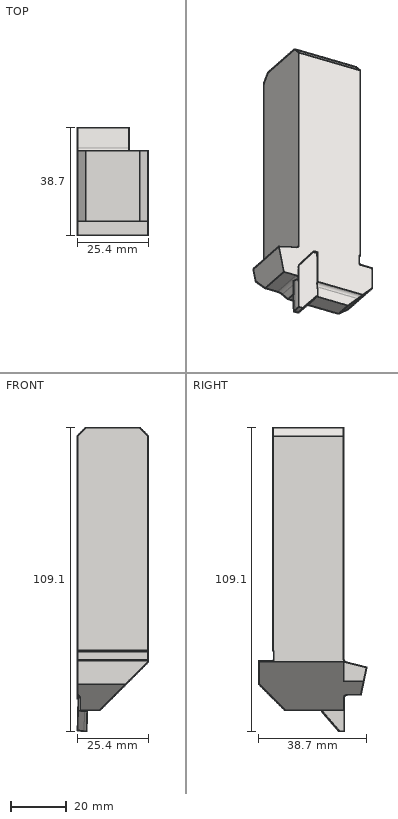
import cadquery as cq
import math

SHANK = 25.4
HEIGHT = 109.1
TOP_CHAMFER = 3.0

HEAD_BOTTOM = 7.5
HEAD_TOP = 25.3
NOSE_REACH = 5.0
NOSE_CHAMFER = 9.5
BOTTOM_WIDTH = 8.0

TAIL_WIDTH = 18.5
TAIL_REACH = 8.3
TAIL_UNDERCUT = 2.1
TAIL_TIP_Z = 23.0
TAIL_BOTTOM = 13.1
TAIL_SLOPE = 14.0
TAIL_FILLET = 1.3

RELIEF_TOP = 29.2
RELIEF_DEPTH = 0.3
RELIEF_RUNOUT = 0.7
RELIEF_CHAMFER = 0.4

STEP_DEPTH = 1.1
STEP_TOP = 13.1
STEP_FILLET = 1.4

INSERT_WIDTH = 7.9
INSERT_FLAT = 1.6
INSERT_SLANT_DROP = 7.6
INSERT_THICKNESS = 3.4
INSERT_LAND = 1.1
INSERT_FLARE = 0.27
INSERT_TILT = 1.5

OVERCUT = 2.2


def make_shank():
    """Square bar above the head, with both X edges of its top end chamfered."""
    shank = cq.Workplane("XY").box(SHANK, SHANK, HEIGHT - HEAD_TOP, centered=False)
    shank = shank.translate((0, 0, HEAD_TOP))
    return shank.faces(">Z").edges("|Y").chamfer(TOP_CHAMFER)


def make_nose():
    """Front overhang of the head with a 45 degree lower corner."""
    chamfer_top = HEAD_BOTTOM + NOSE_CHAMFER
    outline = [
        (SHANK, HEAD_BOTTOM),
        (NOSE_CHAMFER - NOSE_REACH, HEAD_BOTTOM),
        (-NOSE_REACH, chamfer_top),
        (-NOSE_REACH, HEAD_TOP),
        (SHANK, HEAD_TOP),
    ]
    return cq.Workplane("YZ").polyline(outline).close().extrude(SHANK)


def make_tail():
    """Rear overhang, with rounded blends into the back of the shank."""
    slope = math.radians(TAIL_SLOPE)
    tip_y = SHANK + TAIL_REACH
    root_z = TAIL_TIP_Z + TAIL_REACH * math.tan(slope)
    root_bottom = TAIL_BOTTOM - TAIL_FILLET
    root_top = root_z + TAIL_FILLET
    inner_y = SHANK - OVERCUT
    outline = [
        (inner_y, HEAD_BOTTOM),
        (SHANK, HEAD_BOTTOM),
        (SHANK, TAIL_BOTTOM),
        (tip_y - TAIL_UNDERCUT, TAIL_BOTTOM),
        (tip_y, TAIL_TIP_Z),
        (SHANK, root_z),
        (SHANK, root_top + TAIL_FILLET),
        (inner_y, root_top + TAIL_FILLET),
    ]
    tail = cq.Workplane("YZ").polyline(outline).close().extrude(TAIL_WIDTH)
    root_edges = cq.selectors.BoxSelector(
        (-OVERCUT, SHANK - RELIEF_DEPTH, root_bottom),
        (SHANK, SHANK + RELIEF_DEPTH, root_top),
    )
    return tail.edges("|X").edges(root_edges).fillet(TAIL_FILLET)


def make_side_bevel():
    """45 degree wedge to remove from the lower +X side of the head."""
    bevel = SHANK - BOTTOM_WIDTH
    outline = [
        (BOTTOM_WIDTH, HEAD_BOTTOM),
        (SHANK, HEAD_BOTTOM),
        (SHANK, HEAD_BOTTOM + bevel),
    ]
    length = SHANK + NOSE_REACH + TAIL_REACH
    wedge = cq.Workplane("XZ").polyline(outline).close().extrude(-length)
    return wedge.translate((0, -NOSE_REACH, 0))


def make_relief():
    """Shallow groove to remove from the front of the shank."""
    outline = [
        (0, RELIEF_TOP),
        (RELIEF_DEPTH, RELIEF_TOP - RELIEF_RUNOUT),
        (RELIEF_DEPTH, HEAD_TOP + RELIEF_CHAMFER),
        (0, HEAD_TOP),
    ]
    return cq.Workplane("YZ").polyline(outline).close().extrude(SHANK)


def make_side_step():
    """Strip to remove from the lower -X face, with a rounded inner corner."""
    length = SHANK + NOSE_REACH
    step = cq.Workplane("XY").box(STEP_DEPTH + OVERCUT, length, STEP_TOP, centered=False)
    step = step.translate((-OVERCUT, -NOSE_REACH, 0))
    return step.edges("|Y and >X and >Z").fillet(STEP_FILLET)


def insert_outline(flare):
    """Y-Z points of the insert, its back and lower edges moved out by flare."""
    back = SHANK + flare
    front = SHANK - INSERT_WIDTH
    lean = INSERT_THICKNESS * math.sin(math.radians(INSERT_TILT))
    bottom = lean + INSERT_FLARE - flare
    return [
        (back, bottom),
        (SHANK - INSERT_FLAT, bottom),
        (front, HEAD_BOTTOM - flare),
        (front, HEAD_TOP),
        (front + INSERT_FLAT, HEAD_TOP),
        (back, HEAD_TOP - INSERT_SLANT_DROP),
    ]


def tilted_plane():
    """Plane of the insert's -X face, meeting X = 0 at Z = 0."""
    tilt = math.radians(INSERT_TILT)
    return cq.Plane(origin=(0, 0, 0), xDir=(0, 1, 0), normal=(math.cos(tilt), 0, -math.sin(tilt)))


def make_insert():
    """Flared plate with a straight-sided land on its +X side."""
    flared_depth = INSERT_THICKNESS - INSERT_LAND
    flared = (
        cq.Workplane(tilted_plane())
        .polyline(insert_outline(0)).close()
        .workplane(offset=flared_depth)
        .polyline(insert_outline(INSERT_FLARE)).close()
        .loft(ruled=True)
    )
    land = (
        cq.Workplane(tilted_plane())
        .workplane(offset=flared_depth)
        .polyline(insert_outline(INSERT_FLARE)).close()
        .extrude(INSERT_LAND)
    )
    return flared.union(land)


def make_pocket_mouth():
    """Space between the tilted insert and the -X face of the holder."""
    return cq.Workplane(tilted_plane()).polyline(insert_outline(0)).close().extrude(-OVERCUT)


def make_holder(insert):
    """Shank, nose and tail in one piece, with the seat for the insert cut out."""
    holder = make_shank().union(make_nose()).union(make_tail())
    holder = holder.cut(make_side_bevel()).cut(make_relief()).cut(make_side_step())
    return holder.cut(make_pocket_mouth()).cut(insert)


insert = make_insert()
holder = make_holder(insert)

result = cq.Compound.makeCompound([holder.solids().val(), insert.solids().val()])